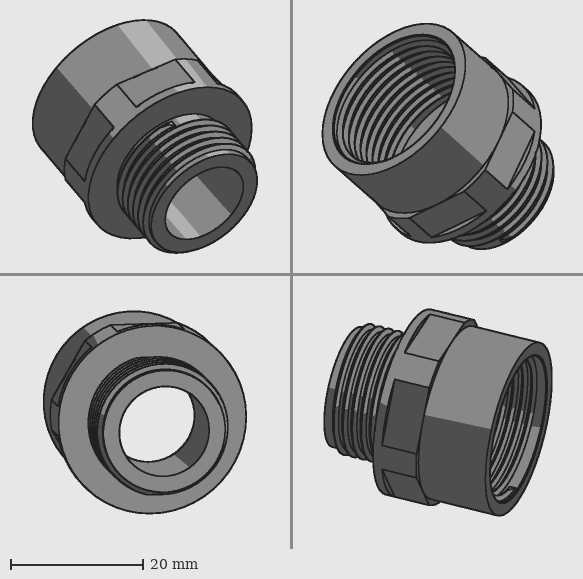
import cadquery as cq
import math

total_length = 28.0
body_diameter = 27.0
body_length = 10.92
flange_diameter = 28.9
flange_face = 17.98
flats_end = 16.55
flat_count = 6

bore_diameter = 22.77
bore_depth = 15.5
mouth_chamfer = 0.17
through_diameter = 13.8

spigot_diameter = 18.75
thread_pitch = 1.5
ridge_height = 0.75
ridge_base = 0.98
ridge_crest = 0.12
root_overlap = 0.12
male_thread_start = 19.0
male_turns = 5.5
female_thread_start = 0.98
female_turns = 9.25

ramp_length = 0.98
ramp_height = 0.43
clearance = 0.58

root_radius_male = spigot_diameter / 2
root_radius_female = bore_diameter / 2


def cylinder(diameter, start, end):
    """Cylinder about X between two positions."""
    return cq.Workplane("YZ").workplane(offset=start).circle(diameter / 2).extrude(end - start)


def ridge(root_radius, turns, outward):
    """Right-handed helical ridge about Z, starting at angle 0 on +X."""
    side = 1 if outward else -1
    slope = (ridge_base - ridge_crest) / 2 / ridge_height
    sunk_half = ridge_base / 2 + root_overlap * slope
    root = root_radius - side * root_overlap
    crest = root_radius + side * ridge_height
    path = cq.Wire.makeHelix(thread_pitch, turns * thread_pitch, root_radius)
    return (
        cq.Workplane("XZ")
        .polyline([
            (root, -sunk_half),
            (crest, -ridge_crest / 2),
            (crest, ridge_crest / 2),
            (root, sunk_half),
        ])
        .close()
        .sweep(cq.Workplane(path), isFrenet=True)
    )


def ramp_cutter(outline):
    """Prism one pitch tall that planes off the ridge end at angle 0."""
    return (
        cq.Workplane("XY")
        .workplane(offset=-thread_pitch / 2)
        .polyline(outline)
        .close()
        .extrude(thread_pitch)
    )


def ramp_ends(thread, turns, outline):
    """Plane off both ends of a ridge; the last end mirrors the first."""
    first = ramp_cutter(outline)
    last = (
        first.mirror("XZ")
        .rotate((0, 0, 0), (0, 0, 1), 360 * turns)
        .translate((0, 0, turns * thread_pitch))
    )
    return thread.cut(first).cut(last)


def lay_along_x(thread, start):
    """Turn the thread axis from Z to X, so angle 0 points to -Z."""
    return thread.rotate((0, 0, 0), (0, 1, 0), 90).translate((start, 0, 0))


def male_thread():
    crest = root_radius_male + ridge_height
    ramp_top = root_radius_male + ramp_height
    flat_end = math.sqrt(crest**2 - ramp_top**2)
    outline = [
        (root_radius_male, 0),
        (ramp_top, ramp_length),
        (ramp_top, flat_end + clearance),
        (crest + clearance, flat_end + clearance),
        (crest + clearance, -clearance),
        (root_radius_male, -clearance),
    ]
    thread = ramp_ends(ridge(root_radius_male, male_turns, True), male_turns, outline)
    return lay_along_x(thread, male_thread_start).rotate((0, 0, 0), (1, 0, 0), 180)


def female_thread():
    rise = ridge_height + clearance
    ramp_span = rise * ramp_length / ramp_height
    inner = root_radius_female - rise
    outline = [
        (root_radius_female, 0),
        (inner, ramp_span),
        (inner, -clearance),
        (root_radius_female, -clearance),
    ]
    thread = ramp_ends(ridge(root_radius_female, female_turns, False), female_turns, outline)
    return lay_along_x(thread, female_thread_start)


def hex_flats():
    """Ring of material outside the wrench flats, with two flats facing +Z and -Z."""
    hex_circumdiameter = body_diameter / math.cos(math.pi / flat_count)
    ring = cylinder(flange_diameter + clearance, body_length, flats_end)
    hexagon = (
        cq.Workplane("YZ")
        .workplane(offset=body_length)
        .polygon(flat_count, hex_circumdiameter)
        .extrude(flats_end - body_length)
    )
    return ring.cut(hexagon)


body = cylinder(body_diameter, 0, body_length)
flange = cylinder(flange_diameter, body_length, flange_face).cut(hex_flats())
spigot = cylinder(spigot_diameter, flange_face, total_length)
shell = body.union(flange).union(spigot).union(male_thread())

socket = cylinder(bore_diameter, 0, bore_depth).cut(female_thread())
shell = shell.cut(socket)
shell = shell.cut(cylinder(through_diameter, bore_depth, total_length))

mouth_cone = cq.Workplane(
    cq.Solid.makeCone(
        root_radius_female + mouth_chamfer,
        root_radius_female,
        mouth_chamfer,
        cq.Vector(0, 0, 0),
        cq.Vector(1, 0, 0),
    )
)

result = shell.cut(mouth_cone)